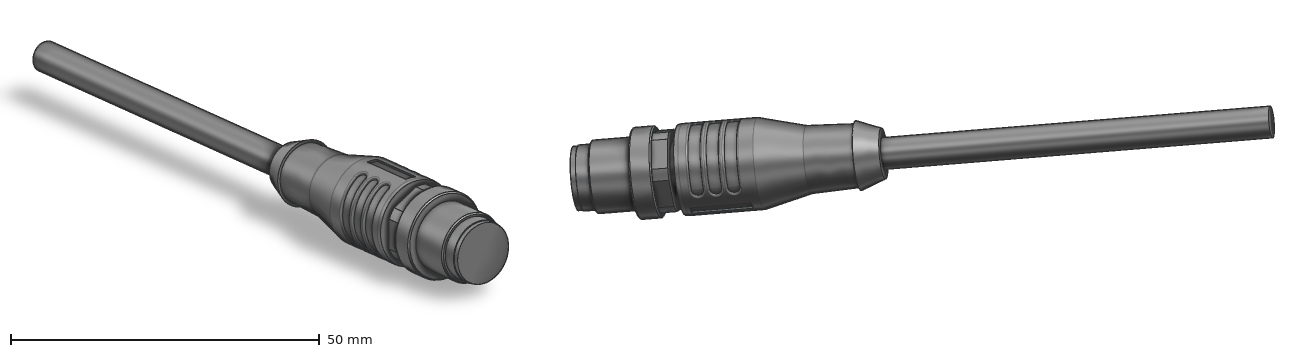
import cadquery as cq

total_length = 114.7
x_boot_start = 64.0
x_boot_shoulder = 68.1
x_boot_end = 76.2
x_grip_start = 84.1
x_grip_bevel = 96.5
x_grip_end = 97.2
x_nut_start = 98.35
x_collar_start = 101.0
x_collar_end = 104.7
x_thread_end = 111.65
x_sleeve_end = 113.8

cable_diameter = 5.2
boot_nose_diameter = 8.3
boot_shoulder_diameter = 11.4
boot_neck_diameter = 10.4
boot_end_diameter = 11.1
grip_diameter = 15.0
grip_end_diameter = 14.8
neck_diameter = 9.3
collar_diameter = 15.0
thread_diameter = 12.0
sleeve_diameter = 10.8
tip_diameter = 10.5

nut_across_flats = 13.0
nut_corner_diameter = 14.0

collar_chamfer = 0.25
thread_chamfer = 0.25

recess_depth = 0.4
groove_count = 3
groove_pitch = 3.0
groove_width = 2.0
groove_rim_radius = 0.3
groove_middle_x = 90.9
groove_inner_y = 3.2
window_length = 10.1
window_width = 2.0
window_middle_x = 90.7


def cylinder(start, end, diameter):
    return cq.Workplane("YZ", origin=(start, 0, 0)).circle(diameter / 2).extrude(end - start)


def make_boot_and_grip():
    """Revolved strain relief, flaring into the cylindrical grip.

    The profile lies in the XZ plane so that the seam of the revolved wall stays clear of the grooves.
    """
    profile = (
        cq.Workplane("XZ")
        .moveTo(x_boot_start, 0)
        .lineTo(x_boot_start, boot_nose_diameter / 2)
        .lineTo(x_boot_shoulder, boot_shoulder_diameter / 2)
        .lineTo(x_boot_shoulder, boot_neck_diameter / 2)
        .lineTo(x_boot_end, boot_end_diameter / 2)
        .lineTo(x_grip_start, grip_diameter / 2)
        .lineTo(x_grip_bevel, grip_diameter / 2)
        .lineTo(x_grip_end, grip_end_diameter / 2)
        .lineTo(x_grip_end, 0)
        .close()
    )
    return profile.revolve(360, (0, 0, 0), (1, 0, 0))


def make_finger_grooves():
    """Round-ended grooves whose floors are concentric with the grip."""
    outer_y = grip_diameter
    length = outer_y - groove_inner_y
    middle_y = (outer_y + groove_inner_y) / 2
    first_x = groove_middle_x - groove_pitch * (groove_count - 1) / 2
    centers = []
    for index in range(groove_count):
        x = first_x + index * groove_pitch
        centers += [(x, middle_y), (x, -middle_y)]
    slots = (
        cq.Workplane("XY")
        .pushPoints(centers)
        .slot2D(length, groove_width, 90)
        .extrude(grip_diameter, both=True)
    )
    return slots.cut(cylinder(x_grip_start, x_grip_end, grip_diameter - 2 * recess_depth))


def make_windows():
    """Flat rectangular recesses on the top and bottom of the grip."""
    boxes = cq.Workplane("XY")
    for side in (1, -1):
        boxes = boxes.add(
            cq.Workplane("XY", origin=(window_middle_x, 0, side * grip_diameter / 2))
            .box(window_length, window_width, 2 * recess_depth)
        )
    return boxes.combine()


def make_nut():
    hexagon = (
        cq.Workplane("YZ", origin=(x_nut_start, 0, 0))
        .polygon(6, nut_across_flats, circumscribed=True)
        .extrude(x_collar_start - x_nut_start)
    )
    return hexagon.intersect(cylinder(x_nut_start, x_collar_start, nut_corner_diameter))


def make_plug():
    """Collar, thread envelope and the stepped sleeve at the tip."""
    collar = cylinder(x_collar_start, x_collar_end, collar_diameter).edges().chamfer(collar_chamfer)
    thread = cylinder(x_collar_end, x_thread_end, thread_diameter).faces(">X").chamfer(thread_chamfer)
    sleeve = cylinder(x_thread_end, x_sleeve_end, sleeve_diameter)
    tip = cylinder(x_sleeve_end, total_length, tip_diameter)
    return collar.union(thread).union(sleeve).union(tip)


def make_grip():
    """Grip with rounded groove rims and flat recesses above and below."""
    grooved = make_boot_and_grip().cut(make_finger_grooves())
    grip_wall = grooved.faces("%CYLINDER").sort(lambda face: -face.Area()).val()
    rim_edges = [edge for wire in grip_wall.innerWires() for edge in wire.Edges()]
    return grooved.newObject(rim_edges).fillet(groove_rim_radius).cut(make_windows())


cable = cylinder(0, x_boot_start, cable_diameter)
neck = cylinder(x_grip_end, x_nut_start, neck_diameter)

result = cable.union(make_grip()).union(neck).union(make_nut()).union(make_plug())